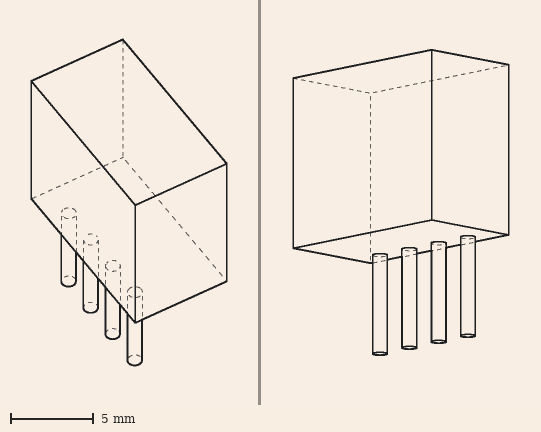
import cadquery as cq

housing_length = 12.0
housing_width = 6.5
total_height = 16.59
pin_length = 6.09
housing_height = total_height - pin_length

pin_count = 4
pin_diameter = 0.9
pin_pitch = 2.54
pin_row_inset = 1.31
pin_row_y = -housing_width / 2 + pin_row_inset


def make_housing():
    """Plain rectangular block standing on Z = 0."""
    return cq.Workplane("XY").box(
        housing_length, housing_width, housing_height, centered=(True, True, False)
    )


def make_pin(x):
    """Straight round pin hanging from the underside of the housing."""
    return cq.Workplane("XY").center(x, pin_row_y).circle(pin_diameter / 2).extrude(-pin_length)


housing = make_housing()

first_pin_x = -pin_pitch * (pin_count - 1) / 2
pins = []
for index in range(pin_count):
    pin = make_pin(first_pin_x + index * pin_pitch)
    pins.append(pin.val())

result = cq.Compound.makeCompound([housing.val(), *pins])